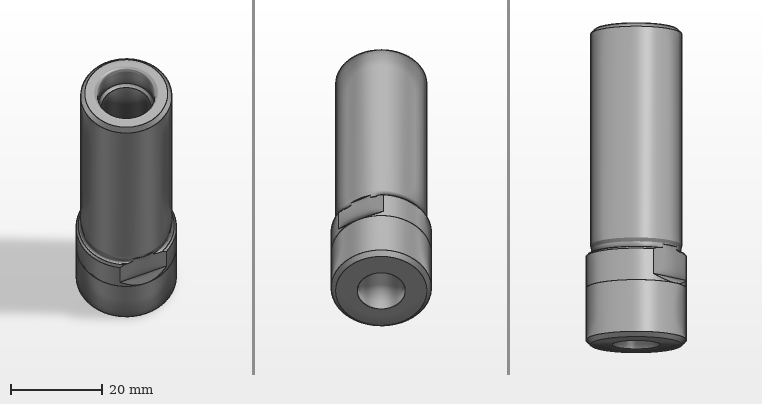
import cadquery as cq
import math

total_height = 70.0
shank_diameter = 20.0
body_diameter = 22.0
shank_chamfer = 0.92
body_chamfer = 1.0

collar_diameter = 22.01
collar_bottom = 12.5
collar_height = 7.5
collar_chamfer = 0.5
width_across_flats = 19.0
flat_top = 21.0

neck_diameter = 19.6
neck_fillet = 0.4
neck_top = 21.2
neck_taper_height = 0.8

entry_diameter = 12.5
entry_depth = 5.0
entry_rim_radius = 1.0
middle_diameter = 10.92
middle_depth = 20.0
entry_floor_angle = 30.0
bore_diameter = 10.5

shank_radius = shank_diameter / 2
body_radius = body_diameter / 2
collar_radius = collar_diameter / 2
neck_radius = neck_diameter / 2
entry_radius = entry_diameter / 2
middle_radius = middle_diameter / 2
bore_radius = bore_diameter / 2


def make_outside():
    """Revolve the solid outer shape about Z."""
    collar_top = collar_bottom + collar_height
    fillet_center = (neck_radius + neck_fillet, collar_top + neck_fillet)
    fillet_offset = neck_fillet * math.sqrt(0.5)
    fillet_middle = (fillet_center[0] - fillet_offset, fillet_center[1] - fillet_offset)
    return (
        cq.Workplane("XZ")
        .moveTo(0, 0)
        .lineTo(body_radius - body_chamfer, 0)
        .lineTo(body_radius, body_chamfer)
        .lineTo(body_radius, collar_bottom)
        .lineTo(collar_radius, collar_bottom)
        .lineTo(collar_radius, collar_top - collar_chamfer)
        .lineTo(collar_radius - collar_chamfer, collar_top)
        .lineTo(neck_radius + neck_fillet, collar_top)
        .threePointArc(fillet_middle, (neck_radius, collar_top + neck_fillet))
        .lineTo(neck_radius, neck_top)
        .lineTo(shank_radius, neck_top + neck_taper_height)
        .lineTo(shank_radius, total_height - shank_chamfer)
        .lineTo(shank_radius - shank_chamfer, total_height)
        .lineTo(0, total_height)
        .close()
        .revolve(360, (0, 0), (0, 1))
    )


def make_bore():
    """Revolve the stepped through bore with its rounded, flared mouth."""
    entry_floor = total_height - entry_depth
    floor_slope = (entry_radius - middle_radius) * math.tan(math.radians(entry_floor_angle))
    middle_floor = total_height - middle_depth
    mouth_radius = entry_radius + entry_rim_radius
    arc_offset = entry_rim_radius * math.sqrt(0.5)
    arc_middle = (mouth_radius - arc_offset, total_height - entry_rim_radius + arc_offset)
    return (
        cq.Workplane("XZ")
        .moveTo(0, 0)
        .lineTo(bore_radius, 0)
        .lineTo(bore_radius, middle_floor)
        .lineTo(middle_radius, middle_floor)
        .lineTo(middle_radius, entry_floor - floor_slope)
        .lineTo(entry_radius, entry_floor)
        .lineTo(entry_radius, total_height - entry_rim_radius)
        .threePointArc(arc_middle, (mouth_radius, total_height))
        .lineTo(0, total_height)
        .close()
        .revolve(360, (0, 0), (0, 1))
    )


def make_flat_cutter(side):
    """Prism removing one wrench flat; side is -1 or +1 along X.

    Its floor slopes down at 45 degrees to meet the body at the collar's lower edge.
    """
    flat_x = width_across_flats / 2
    flat_bottom = collar_bottom + body_radius - flat_x
    outer_x = body_diameter
    return (
        cq.Workplane("XZ")
        .polyline([
            (side * flat_x, flat_bottom),
            (side * body_radius, collar_bottom),
            (side * outer_x, collar_bottom),
            (side * outer_x, flat_top),
            (side * flat_x, flat_top),
        ])
        .close()
        .extrude(collar_radius, both=True)
    )


result = make_outside().cut(make_bore())
for side in (-1, 1):
    result = result.cut(make_flat_cutter(side))